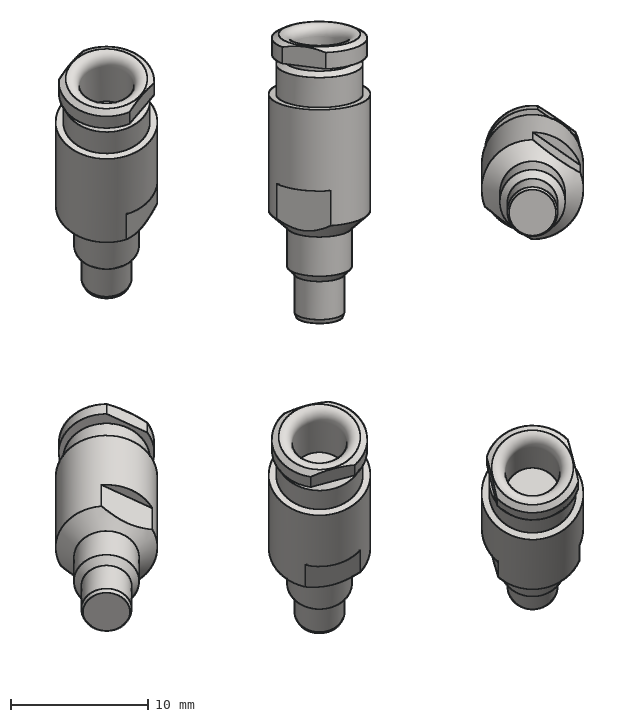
import cadquery as cq
import math

length = 21.6
body_diameter = 7.4

tip_chamfer_top = 0.35
tip_top = 3.26
neck_bottom = 3.85
neck_top = 6.85
body_bottom = 8.12
body_top = 17.02
collar_chamfer_bottom = 19.3
collar_top = 19.61
head_bottom = 20.07
head_chamfer_bottom = 21.32

tip_end_diameter = 3.41
tip_diameter = 3.67
neck_diameter = 4.75
collar_diameter = 6.33
groove_diameter = 5.15
head_diameter = 6.95
head_end_diameter = 5.95

flat_width = 6.07
body_flat_top = 10.8

bore_diameter = 3.97
bore_depth = 4.54
mouth_radius = 0.8


def turned_body():
    steps = [
        (tip_end_diameter, 0),
        (tip_diameter, tip_chamfer_top),
        (tip_diameter, tip_top),
        (neck_diameter, neck_bottom),
        (neck_diameter, neck_top),
        (body_diameter, body_bottom),
        (body_diameter, body_top),
        (collar_diameter, body_top),
        (collar_diameter, collar_chamfer_bottom),
        (groove_diameter, collar_top),
        (groove_diameter, head_bottom),
        (head_diameter, head_bottom),
        (head_diameter, head_chamfer_bottom),
        (head_end_diameter, length),
    ]
    profile = [(0, 0)] + [(diameter / 2, z) for diameter, z in steps] + [(0, length)]
    return cq.Workplane("XZ").polyline(profile).close().revolve(360, (0, 0), (0, 1))


def flats_cutter(bottom, top):
    """Two blocks, one on each side, that leave only the width between the flats."""
    height = top - bottom
    block = cq.Workplane("XY").workplane(offset=bottom)
    outside = block.rect(2 * body_diameter, 2 * body_diameter).extrude(height)
    kept = block.rect(flat_width, 2 * body_diameter).extrude(height)
    return outside.cut(kept)


def cable_bore():
    """Blind bore that flares out to the end face through a rounded mouth."""
    bore_radius = bore_diameter / 2
    arc_offset = mouth_radius * (1 - math.sqrt(0.5))
    return (
        cq.Workplane("XZ")
        .moveTo(0, length - bore_depth)
        .lineTo(bore_radius, length - bore_depth)
        .lineTo(bore_radius, length - mouth_radius)
        .threePointArc(
            (bore_radius + arc_offset, length - arc_offset),
            (bore_radius + mouth_radius, length),
        )
        .lineTo(0, length)
        .close()
        .revolve(360, (0, 0), (0, 1))
    )


result = turned_body()
result = result.cut(flats_cutter(neck_top, body_flat_top))
result = result.cut(flats_cutter(head_bottom, length))
result = result.cut(cable_bore())